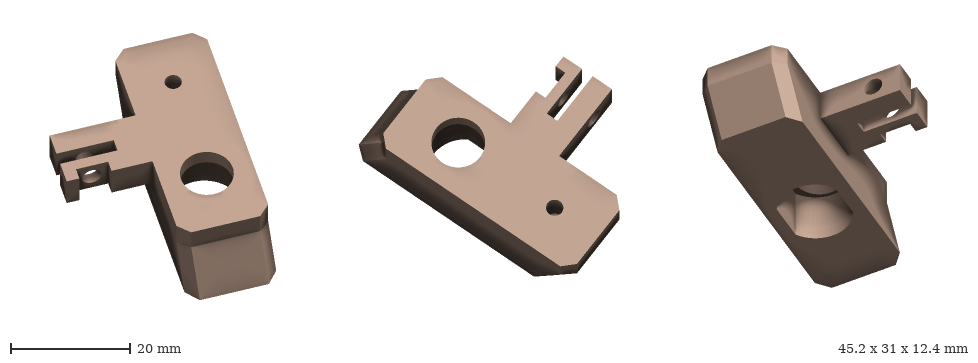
import cadquery as cq

total_length = 45.25
face_length = 40.15
body_width = 16.0
body_height = 12.35
upright_height = 4.1
corner_chamfer = 2.0
lean = total_length - face_length

arm_left = 13.95
arm_width = 10.05
arm_length = 15.0
arm_height = 6.0
arm_right = arm_left + arm_width
arm_end = -arm_length

slot_offset = 4.0
slot_width = 2.2
slot_length = 10.0
notch_depth = 2.0
notch_width = 5.6
pin_diameter = 3.4
pin_from_end = 5.02
pin_y = arm_end + pin_from_end

large_hole_x = 29.0
large_hole_diameter = 9.0
large_hole_depth = 2.85
small_hole_x = 9.0
small_hole_diameter = 2.9
small_hole_depth = 6.0

pocket_x = 27.6
pocket_diameter = 13.0
pocket_width = 11.05
pocket_height = body_height - large_hole_depth


def top_box(x, y, length, width, height):
    """Box with its low X and Y corner at (x, y), hanging down from the top face."""
    return cq.Workplane("XY").box(length, width, height, centered=False).translate(
        (x, y, body_height - height)
    )


def vertical_hole(x, diameter, depth):
    """Cylinder going down from the top face on the body centre line."""
    return (
        cq.Workplane("XY", origin=(x, body_width / 2, body_height))
        .circle(diameter / 2)
        .extrude(-depth)
    )


def make_body():
    bend_z = body_height - upright_height
    profile = [
        (0, body_height),
        (face_length, body_height),
        (face_length, bend_z),
        (total_length, 0),
        (lean, 0),
        (0, bend_z),
    ]
    block = cq.Workplane("XZ").polyline(profile).close().extrude(-body_width)
    return block.edges("not(|X or |Y)").chamfer(corner_chamfer)


def make_arm():
    arm = top_box(arm_left, arm_end, arm_width, arm_length + body_width / 2, arm_height)
    slot = top_box(arm_left + slot_offset, arm_end, slot_width, slot_length, arm_height)
    notch = top_box(arm_right - notch_depth, pin_y - notch_width / 2, notch_depth, notch_width, arm_height)
    pin_hole = (
        cq.Workplane("YZ", origin=(arm_left, pin_y, body_height - arm_height / 2))
        .circle(pin_diameter / 2)
        .extrude(arm_width)
    )
    return arm.cut(slot).cut(notch).cut(pin_hole)


def make_pocket():
    base = cq.Workplane("XY", origin=(pocket_x, body_width / 2, 0))
    cylinder = base.circle(pocket_diameter / 2).extrude(pocket_height)
    flats = base.rect(pocket_diameter, pocket_width).extrude(pocket_height)
    return cylinder.intersect(flats)


result = (
    make_body()
    .union(make_arm())
    .cut(vertical_hole(large_hole_x, large_hole_diameter, large_hole_depth))
    .cut(make_pocket())
    .cut(vertical_hole(small_hole_x, small_hole_diameter, small_hole_depth))
)